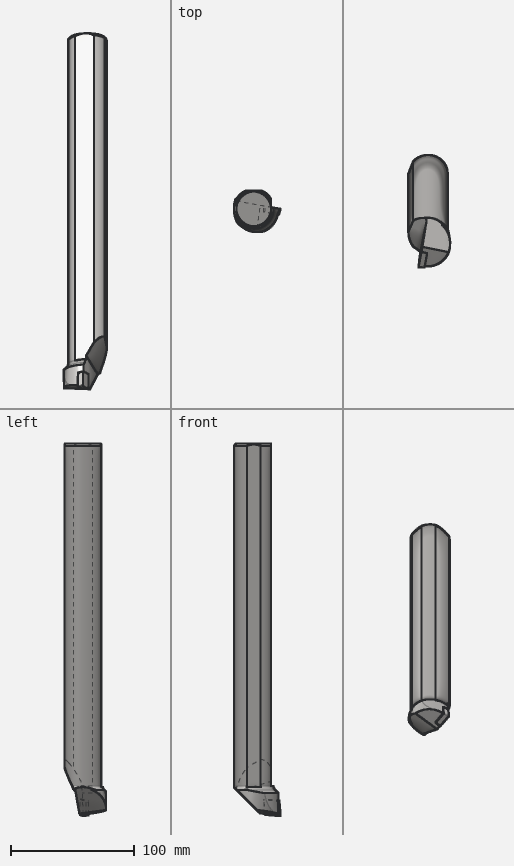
import cadquery as cq
import math


total_length = 301.25
shank_radius = 16.0
front_flat_distance = 15.0
side_flat_distance = 14.0
front_flat_end = 23.7
top_chamfer = 2.0

flare_angle = 45.0
neck_height = 22.6
neck_fillet = 4.5
head_radius = 20.0
relief_radius = 18.8
relief_center_x = 1.0
relief_tilt = 7.0
slant_height = 23.3
end_height = 1.0
end_slope = 5.0
end_clearance = 7.0

rake_angle = 10.0
ramp_height = 39.3
ramp_rise = 0.60
ramp_skew = 0.35

nose_x = 21.77
nose_radius = 0.8
insert_corner_angle = 80.0
inscribed_diameter = 12.7
insert_thickness = 4.76
insert_clearance = 7.0

cut_size = 200.0


def half_space(origin, normal):
    """Large block on the side of a plane that its normal points to."""
    plane = cq.Plane(origin=origin, normal=normal)
    return cq.Workplane(plane).rect(cut_size, cut_size).extrude(cut_size)


def slope(angle):
    """Rise per unit of run at an angle in degrees."""
    return math.tan(math.radians(angle))


def make_shank():
    tangent = neck_fillet * slope(flare_angle / 2)
    tangent_leg = tangent * math.cos(math.radians(flare_angle))
    arc_center = (shank_radius + neck_fillet, neck_height + tangent)
    middle_angle = math.radians(180 + flare_angle / 2)
    arc_middle = (
        arc_center[0] + neck_fillet * math.cos(middle_angle),
        arc_center[1] + neck_fillet * math.sin(middle_angle),
    )
    fillet_end = (shank_radius + tangent_leg, neck_height - tangent_leg)
    body = (
        cq.Workplane("XZ")
        .moveTo(0, fillet_end[1])
        .lineTo(*fillet_end)
        .threePointArc(arc_middle, (shank_radius, neck_height + tangent))
        .lineTo(shank_radius, total_length - top_chamfer)
        .lineTo(shank_radius - top_chamfer, total_length)
        .lineTo(0, total_length)
        .close()
        .revolve(360, (0, 0, 0), (0, 1, 0))
    )
    slab_width = 4 * shank_radius
    front_slab = (
        cq.Workplane("XY", origin=(0, -front_flat_distance, front_flat_end))
        .rect(slab_width, slab_width)
        .extrude(total_length)
        .translate((0, -slab_width / 2, 0))
    )
    back_slab = front_slab.mirror("XZ")
    side_slab = (
        cq.Workplane("XY", origin=(side_flat_distance + slab_width / 2, 0, neck_height + tangent))
        .rect(slab_width, slab_width)
        .extrude(total_length)
    )
    return body.cut(front_slab).cut(back_slab).cut(side_slab)


def make_head():
    flare_top_radius = shank_radius / 2
    flare_top = neck_height + (shank_radius - flare_top_radius) / slope(flare_angle)
    blank = (
        cq.Workplane("XZ")
        .lineTo(head_radius, 0)
        .lineTo(head_radius, neck_height - (head_radius - shank_radius) / slope(flare_angle))
        .lineTo(flare_top_radius, flare_top)
        .lineTo(0, flare_top)
        .close()
        .revolve(360, (0, 0, 0), (0, 1, 0))
    )
    tilt = math.radians(relief_tilt)
    relief_axis = cq.Plane(
        origin=(relief_center_x, 0, 0),
        xDir=(0, 1, 0),
        normal=(math.sin(tilt), 0, math.cos(tilt)),
    )
    relief = cq.Workplane(relief_axis).circle(relief_radius).extrude(cut_size, both=True)
    return blank.intersect(relief)


def make_chip_pocket():
    floor = half_space((nose_x, 0, 0), (slope(rake_angle), 1, 0))
    flat_edge_x = -math.sqrt(shank_radius**2 - front_flat_distance**2)
    ramp = half_space((flat_edge_x, front_flat_distance, ramp_height), (ramp_skew, 1, -ramp_rise))
    return floor.intersect(ramp)


def make_insert():
    rake = math.radians(rake_angle)
    seat = cq.Plane(
        origin=(nose_x, 0, 0),
        xDir=(-math.cos(rake), math.sin(rake), 0),
        normal=(math.sin(rake), math.cos(rake), 0),
    )
    edge_length = inscribed_diameter / math.sin(math.radians(insert_corner_angle))
    edge_tilt = math.radians((90 - insert_corner_angle) / 2)
    corner_to_center = nose_radius / math.sin(math.radians(insert_corner_angle / 2))
    corner = nose_radius - corner_to_center * math.cos(math.radians(45))
    long_leg = edge_length * math.cos(edge_tilt)
    short_leg = edge_length * math.sin(edge_tilt)
    outline = [
        (corner, corner),
        (corner + long_leg, corner + short_leg),
        (corner + long_leg + short_leg, corner + long_leg + short_leg),
        (corner + short_leg, corner + long_leg),
    ]
    rhombus = cq.Sketch().polygon(outline + outline[:1]).vertices().fillet(nose_radius)
    return cq.Workplane(seat).placeSketch(rhombus).extrude(-insert_thickness, taper=insert_clearance)


insert = make_insert()

slanted_face = half_space((-shank_radius, 0, slant_height), (-1, 0, -1))
end_face = half_space((nose_x, 0, end_height), (-slope(end_slope), -slope(end_clearance), -1))

holder = (
    make_shank()
    .union(make_head())
    .cut(make_chip_pocket())
    .cut(slanted_face)
    .cut(end_face)
    .cut(insert)
)

result = cq.Compound.makeCompound([holder.solids().val(), insert.val()])